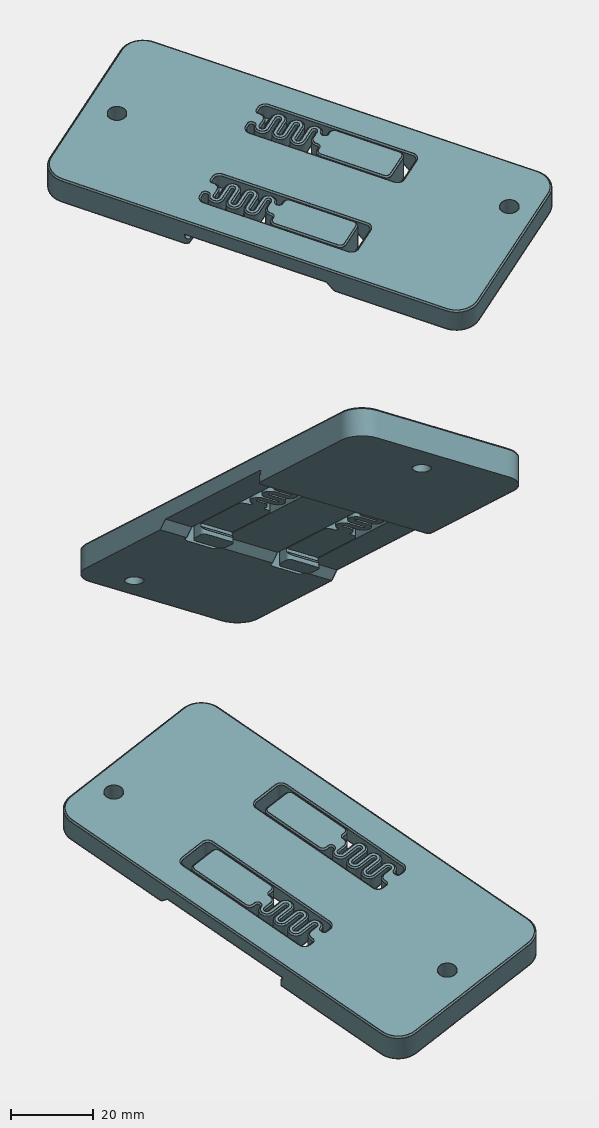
import cadquery as cq
import math

LENGTH = 114.6
WIDTH = 52.0
HEIGHT = 7.6
CORNER_RADIUS = 6.0
TOP_CHAMFER = 0.4

CHANNEL_TOP = 3.1
CHANNEL_LEFT = -18.5
RIGHT_SIDE_BOTTOM = 1.0
RAMP_END = 21.5

LIP_REACH = 1.0
LIP_HEIGHT = 1.2

HOLE_DIAMETER = 4.7
HOLE_CENTERS = [(-48.85, 0.0), (50.35, 12.0)]

LATCH_CENTERS_Y = (-13.0, 13.0)
WINDOW_LEFT = CHANNEL_LEFT
WINDOW_RIGHT = 23.1
WINDOW_WIDTH = 10.0
WINDOW_RADIUS = 1.5

TONGUE_LEFT = 0.0
TONGUE_RIGHT = 20.0
TONGUE_WIDTH = 9.5
TONGUE_RADIUS = 1.6
HOOK_LEFT = 16.1

STRIP = 1.6
LEG_PITCH = 2.4
LEG_COUNT = 7
LEG_HALF_LENGTH = 2.0
LAST_LEG_X = -2.0

FIRST_LEG_X = LAST_LEG_X - (LEG_COUNT - 1) * LEG_PITCH
SPRING_MIDDLE_X = (FIRST_LEG_X + LAST_LEG_X) / 2
BEND_OUTER = (LEG_PITCH + STRIP) / 2
BEND_INNER = (LEG_PITCH - STRIP) / 2
LATCH_THICKNESS = HEIGHT - CHANNEL_TOP
NOTCH_RADIUS = 0.5
OVERLAP = 0.7


def rounded_block(x_min, x_max, width, z_min, z_max, radius):
    """Block centred on Y = 0 with rounded upright edges."""
    return (
        cq.Workplane("XY", origin=((x_min + x_max) / 2, 0, z_min))
        .rect(x_max - x_min, width)
        .extrude(z_max - z_min)
        .edges("|Z")
        .fillet(radius)
    )


def make_plate():
    """Rounded plate with the rail channel and the lowered right underside removed."""
    plate = rounded_block(-LENGTH / 2, LENGTH / 2, WIDTH, 0, HEIGHT, CORNER_RADIUS)
    ramp_start = RAMP_END - (CHANNEL_TOP - RIGHT_SIDE_BOTTOM)
    channel = (
        cq.Workplane("XZ")
        .moveTo(CHANNEL_LEFT, 0)
        .lineTo(CHANNEL_LEFT, CHANNEL_TOP)
        .lineTo(ramp_start, CHANNEL_TOP)
        .lineTo(RAMP_END, RIGHT_SIDE_BOTTOM)
        .lineTo(LENGTH / 2, RIGHT_SIDE_BOTTOM)
        .lineTo(LENGTH / 2, 0)
        .close()
        .extrude(WIDTH / 2, both=True)
    )
    return plate.cut(channel)


def make_lip(wall_x, direction, width):
    """Lip on the wall at wall_x, pointing along direction (+1 or -1 in X), with rounded ends."""
    tip_x = wall_x + direction * LIP_REACH
    root_x = wall_x - direction * OVERLAP
    half_width = width / 2
    profile = (
        cq.Workplane("XZ")
        .moveTo(root_x, 0)
        .lineTo(tip_x, 0)
        .lineTo(tip_x, LIP_HEIGHT)
        .lineTo(wall_x, LIP_HEIGHT + LIP_REACH)
        .lineTo(root_x, LIP_HEIGHT + LIP_REACH)
        .close()
        .extrude(half_width, both=True)
    )
    corner = LIP_REACH * math.sqrt(0.5)
    arc_mid_x = wall_x + direction * corner
    arc_mid_y = half_width - LIP_REACH + corner
    outline = (
        cq.Workplane("XY")
        .moveTo(root_x, -half_width)
        .lineTo(wall_x, -half_width)
        .threePointArc((arc_mid_x, -arc_mid_y), (tip_x, LIP_REACH - half_width))
        .lineTo(tip_x, half_width - LIP_REACH)
        .threePointArc((arc_mid_x, arc_mid_y), (wall_x, half_width))
        .lineTo(root_x, half_width)
        .close()
        .extrude(CHANNEL_TOP)
    )
    return profile.intersect(outline)


def make_spring_root(end_x):
    """End leg of the spring widened to end_x inside the tongue, with one large round corner."""
    left_x = LAST_LEG_X - STRIP / 2
    corner = BEND_OUTER * (1 - math.sqrt(0.5))
    arc_start_y = BEND_OUTER - LEG_HALF_LENGTH
    return (
        cq.Workplane("XY", origin=(0, 0, CHANNEL_TOP))
        .moveTo(left_x, LEG_HALF_LENGTH)
        .lineTo(left_x, arc_start_y)
        .threePointArc(
            (left_x + corner, corner - LEG_HALF_LENGTH),
            (left_x + BEND_OUTER, -LEG_HALF_LENGTH),
        )
        .lineTo(end_x, -LEG_HALF_LENGTH)
        .lineTo(end_x, LEG_HALF_LENGTH)
        .close()
        .extrude(LATCH_THICKNESS)
    )


def make_bend(center_x, side):
    """Half ring joining two legs; side is +1 for the +Y end and -1 for the -Y end."""
    end_y = side * LEG_HALF_LENGTH
    return (
        cq.Workplane("XY", origin=(center_x, end_y, CHANNEL_TOP))
        .moveTo(-BEND_OUTER, 0)
        .threePointArc((0, side * BEND_OUTER), (BEND_OUTER, 0))
        .lineTo(BEND_INNER, 0)
        .threePointArc((0, side * BEND_INNER), (-BEND_INNER, 0))
        .close()
        .extrude(LATCH_THICKNESS)
    )


def make_spring():
    """Serpentine strip between the left window wall and the tongue."""
    root = make_spring_root(TONGUE_LEFT + OVERLAP)
    axis_start = (SPRING_MIDDLE_X, 0, 0)
    axis_end = (SPRING_MIDDLE_X, 0, 1)
    spring = root.union(root.rotate(axis_start, axis_end, 180))
    for leg in range(1, LEG_COUNT - 1):
        strip = (
            cq.Workplane("XY", origin=(FIRST_LEG_X + leg * LEG_PITCH, 0, CHANNEL_TOP))
            .rect(STRIP, 2 * LEG_HALF_LENGTH)
            .extrude(LATCH_THICKNESS)
        )
        spring = spring.union(strip)
    for bend in range(LEG_COUNT - 1):
        side = -1 if bend % 2 == 0 else 1
        spring = spring.union(make_bend(FIRST_LEG_X + (bend + 0.5) * LEG_PITCH, side))
    return spring


def make_tongue():
    """Tongue with a hook at its free end that reaches under the rail."""
    tongue = rounded_block(TONGUE_LEFT, TONGUE_RIGHT, TONGUE_WIDTH, 0, HEIGHT, TONGUE_RADIUS)
    relief = cq.Workplane("XY").box(
        HOOK_LEFT - TONGUE_LEFT, TONGUE_WIDTH, CHANNEL_TOP, centered=(False, True, False)
    )
    lip = make_lip(HOOK_LEFT, -1, TONGUE_WIDTH)
    return tongue.cut(relief.translate((TONGUE_LEFT, 0, 0))).union(lip)


def make_window():
    """Through cutter for one latch window."""
    return rounded_block(WINDOW_LEFT, WINDOW_RIGHT, WINDOW_WIDTH, 0, HEIGHT, WINDOW_RADIUS)


def round_notches(body, center_y):
    """Round the inner corners beside both spring roots of one latch."""
    bend_edge_x = LAST_LEG_X + STRIP / 2
    notch_corners = [
        (TONGUE_LEFT, LEG_HALF_LENGTH),
        (TONGUE_LEFT, -LEG_HALF_LENGTH),
        (bend_edge_x, LEG_HALF_LENGTH),
        (WINDOW_LEFT, LEG_HALF_LENGTH),
        (WINDOW_LEFT, -LEG_HALF_LENGTH),
        (2 * SPRING_MIDDLE_X - bend_edge_x, -LEG_HALF_LENGTH),
    ]
    middle_z = (CHANNEL_TOP + HEIGHT) / 2
    for x, y in notch_corners:
        corner = cq.selectors.NearestToPointSelector((x, center_y + y, middle_z))
        body = body.edges("|Z").edges(corner).fillet(NOTCH_RADIUS)
    return body


def make_holes():
    return (
        cq.Workplane("XY")
        .pushPoints(HOLE_CENTERS)
        .circle(HOLE_DIAMETER / 2)
        .extrude(HEIGHT)
    )


body = make_plate()

window = make_window()
latch = make_tongue().union(make_spring())
for center_y in LATCH_CENTERS_Y:
    body = body.cut(window.translate((0, center_y, 0)))
    body = body.union(latch.translate((0, center_y, 0)))
    body = round_notches(body, center_y)

body = body.faces(">Z").edges().chamfer(TOP_CHAMFER)
body = body.union(make_lip(CHANNEL_LEFT, 1, WIDTH))

result = body.cut(make_holes())